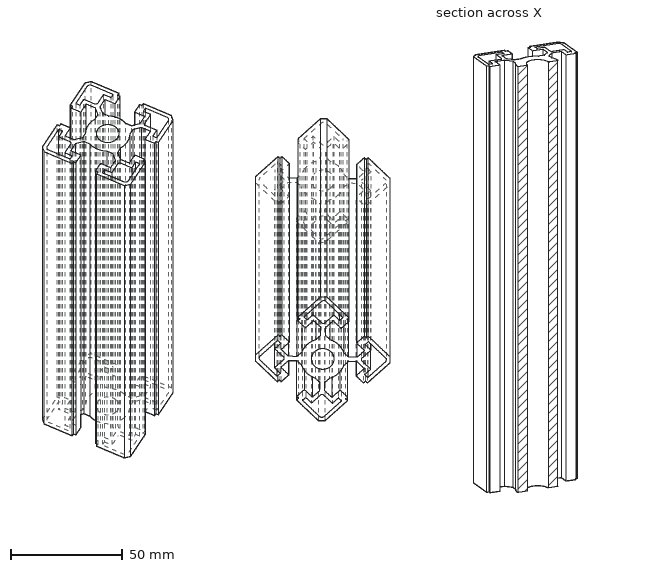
import cadquery as cq
import math

length = 203.2
side = 45.0
half = side / 2

slot_width = 10.0
slot_half_width = slot_width / 2
lip_depth = 6.0
lip_level = half - lip_depth
channel_half_width = 10.2

wall = 1.8
lip_end_wall = 3.3
cavity_outer = half - wall
cavity_end = slot_half_width + lip_end_wall
cavity_arm_width = 2.0
cavity_arm_inner = cavity_outer - cavity_arm_width
cavity_inner = channel_half_width + wall
corner_chamfer = 2.0
cavity_outer_radius = 1.5
cavity_inner_radius = 1.0
lip_step = 1.2

core_side = 17.9
core_radius = 10.0
bore_radius = 5.0
web_thickness = 2.2


def l_shaped_prism(outer, arm_inner, inner, end):
    """L-shaped prism in the +X +Y quadrant, symmetric about the diagonal."""
    points = [
        (outer, outer),
        (outer, end),
        (arm_inner, end),
        (arm_inner, inner),
        (inner, inner),
        (inner, arm_inner),
        (end, arm_inner),
        (end, outer),
    ]
    return cq.Workplane("XY").polyline(points).close().extrude(length)


def edge_at(x, y):
    """Selector for the lengthwise edge nearest to the given place."""
    return cq.selectors.NearestToPointSelector((x, y, length / 2))


def make_cavity():
    cavity = l_shaped_prism(cavity_outer, cavity_arm_inner, cavity_inner, cavity_end)
    outer_corner = edge_at(cavity_outer, cavity_outer)
    inner_corner = edge_at(cavity_inner, cavity_inner)
    cavity = cavity.edges("|Z").edges(outer_corner).fillet(cavity_outer_radius)
    cavity = cavity.edges("|Z").edges(inner_corner).fillet(cavity_inner_radius)
    return cavity


def make_corner_tube():
    tube = l_shaped_prism(half, lip_level, channel_half_width, slot_half_width)
    tube = tube.edges("|Z").edges(edge_at(half, half)).chamfer(corner_chamfer)

    step_places = [(half, slot_half_width), (slot_half_width, half)]
    steps = cq.Workplane("XY").pushPoints(step_places)
    steps = steps.rect(2 * lip_step, 2 * lip_step).extrude(length)
    return tube.cut(steps).cut(make_cavity())


def make_web():
    """Diagonal web from the axis to the inner corner of a corner tube."""
    reach = channel_half_width * math.sqrt(2) + web_thickness / 2
    web = cq.Workplane("XY").rect(reach, web_thickness).extrude(length)
    return web.translate((reach / 2, 0, 0)).rotate((0, 0, 0), (0, 0, 1), 45)


core = cq.Workplane("XY").rect(core_side, core_side).extrude(length)
core = core.union(cq.Workplane("XY").circle(core_radius).extrude(length))

profile = core
quarter = make_corner_tube().union(make_web())
for angle in (0, 90, 180, 270):
    profile = profile.union(quarter.rotate((0, 0, 0), (0, 0, 1), angle))

bore = cq.Workplane("XY").circle(bore_radius).extrude(length)
result = profile.cut(bore)